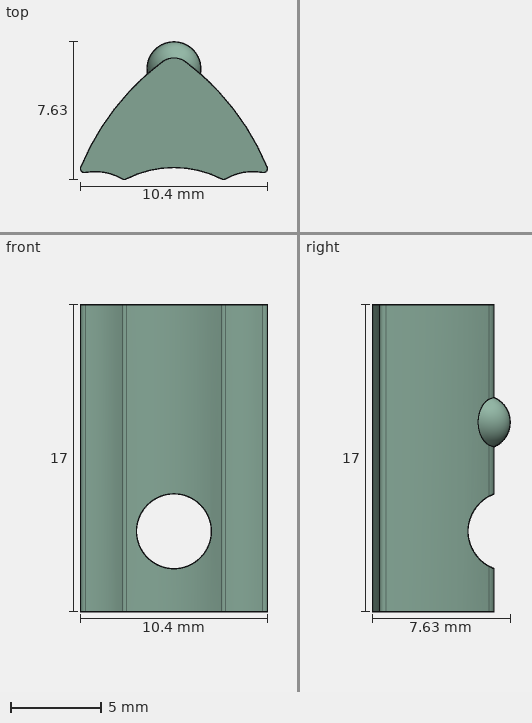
import cadquery as cq

length = 17.0
half_width = 5.17
depth = 6.73
overall_depth = 7.63
hole_diameter = 4.13
hole_height = 4.45
ball_radius = 1.5
ball_height = 10.49

crest = (0, depth)
crest_end = (0.71, 6.46)
flank_middle = (3.28, 3.93)
flank_end = (5.13, 0.75)
wing_tip = (half_width, 0.55)
wing_end = (4.9, 0.39)
ledge_middle = (3.74, 0.37)
foot_outer = (2.85, 0.03)
foot_tip = (2.74, 0)
foot_inner = (2.64, 0.03)
channel_top = (0, 0.66)


def mirrored(point):
    """Reflect a section point across the YZ plane."""
    return (-point[0], point[1])


def make_body():
    """Extrude the wing-shaped section, whose stretches are all arcs."""
    half_arcs = [
        (flank_middle, flank_end),
        (wing_tip, wing_end),
        (ledge_middle, foot_outer),
        (foot_tip, foot_inner),
    ]
    section = cq.Workplane("XY").moveTo(*mirrored(crest_end))
    section = section.threePointArc(crest, crest_end)
    for middle, end in half_arcs:
        section = section.threePointArc(middle, end)
    section = section.threePointArc(channel_top, mirrored(foot_inner))

    starts = [crest_end] + [end for _, end in half_arcs[:-1]]
    for (middle, _), start in reversed(list(zip(half_arcs, starts))):
        section = section.threePointArc(mirrored(middle), mirrored(start))
    return section.close().extrude(length)


def make_hole():
    """Round cutter running through the whole depth along Y."""
    return (
        cq.Workplane("XZ", origin=(0, overall_depth, 0))
        .center(0, hole_height)
        .circle(hole_diameter / 2)
        .extrude(overall_depth)
    )


def make_ball():
    """Detent ball seated in the crest."""
    ball_center = (0, overall_depth - ball_radius, ball_height)
    return cq.Workplane("XY").sphere(ball_radius).translate(ball_center)


result = make_body().cut(make_hole()).union(make_ball())